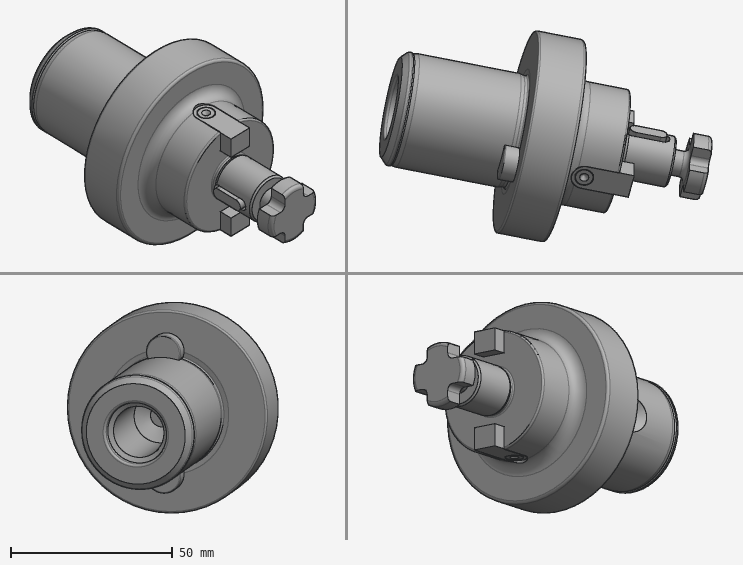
import cadquery as cq
import math


SIDES = (1, -1)

shank_length = 39.8
flange_length = 15.3
hub_length = 16.8
pilot_length = 17.2
hub_face = flange_length + hub_length
pilot_end = hub_face + pilot_length

shank_diameter = 36.0
flange_diameter = 64.0
hub_diameter = 39.1
pilot_diameter = 16.1
shank_r = shank_diameter / 2
flange_r = flange_diameter / 2
hub_r = hub_diameter / 2
pilot_r = pilot_diameter / 2

nose_chamfer = 1.8
nose_fillet = 1.2
nose_land = 0.4
nose_groove_slope = 0.5
nose_groove_runout = 1.4
flange_seat_fillet = 0.6
flange_hub_fillet = 0.9
hub_root_fillet = 3.9
hub_edge_fillet = 0.6
pilot_chamfer = 0.6

relief_depth = 0.3
shank_relief_length = 2.4
relief_ramp = 1.2
relief_radius = 0.5
seat_relief_depth = 0.2
seat_relief_diameter = 39.6
pilot_relief_length = 2.1
pilot_relief_ramp = 0.8
pilot_relief_radius = 0.4

bore_diameter = 16.1
bore_mouth_diameter = 19.3
bore_mouth_fillet = 0.8
bore_mouth_depth = 2.9
bore_mouth_cone = 0.8
bore_depth = 30.0
bore_floor_diameter = 7.0
drill_half_angle = math.radians(59)

clamp_seat_x = -15.1
clamp_seat_r = 6.6

pin_diameter = 10.9
pin_offset = 19.4
pin_protrusion = 4.7
pin_seat_depth = 8.0
pin_edge_fillet = 0.3
pin_r = pin_diameter / 2

driver_width = 8.1
driver_start = 17.7
driver_end = 36.8
driver_floor = 11.8
driver_top = 18.9
driver_r = driver_width / 2
driver_screw_x = driver_start + driver_r

cap_head_diameter = 5.4
cap_bore_diameter = 5.8
cap_head_height = 3.0
cap_shank_diameter = 3.0
cap_thread_depth = 4.0
cap_socket_r = 1.4

feather_width = 4.0
feather_start = 34.2
feather_length = 11.8
keyway_end_gap = 1.1
feather_top = 9.3
feather_height = 4.0
feather_floor = feather_top - feather_height

stem_diameter = 8.1
stem_seat = 30.0
knob_start = 54.4
knob_end = 60.4
knob_diameter = 20.3
knob_fillet = 1.3
knob_root_fillet = 1.8
lobe_width = 8.1
lobe_corner_fillet = 2.0
stem_r = stem_diameter / 2
knob_r = knob_diameter / 2


def arc_point(center, radius, angle):
    """Point at the given angle (degrees) on a circle."""
    turn = math.radians(angle)
    return (center[0] + radius * math.cos(turn), center[1] + radius * math.sin(turn))


def revolve_about_x(profile):
    """Revolve a closed (x, radius) profile around the X axis."""
    return profile.close().revolve(360, (0, 0), (1, 0))


def cylinder_x(radius, x_start, x_end, z=0):
    """Cylinder along X, centred on y = 0 at height z."""
    return cq.Workplane("YZ", origin=(x_start, 0, 0)).center(0, z).circle(radius).extrude(x_end - x_start)


def cylinder_z(radius, x, z_start, z_end):
    """Cylinder along Z at the given x."""
    return cq.Workplane("XY", origin=(x, 0, z_start)).circle(radius).extrude(z_end - z_start)


def cone(base_center, base_radius, height, direction):
    """Pointed cone from a base circle toward its tip."""
    base = cq.Vector(*base_center)
    axis = cq.Vector(*direction)
    return cq.Workplane(cq.Solid.makeCone(base_radius, 0, height, base, axis))



def turned_body():
    """Shank, flange, hub and pilot with their fillets and reliefs."""
    nose = -shank_length
    nose_blend = nose_fillet / math.sqrt(2)
    chamfer_end_r = shank_r - nose_fillet + nose_blend
    land_start = nose + nose_chamfer + nose_blend
    nose_arc_center = (land_start, shank_r - nose_fillet)
    groove_start = land_start + nose_land
    groove_bottom = groove_start + nose_groove_slope
    groove_r = shank_r - relief_depth

    shank_root_r = shank_r - relief_depth
    seat_arc_center = (seat_relief_depth - relief_radius, shank_root_r + relief_radius)
    hub_arc_center = (flange_length + hub_root_fillet, hub_r + hub_root_fillet)
    pilot_root_r = pilot_r - relief_depth
    pilot_arc_center = (hub_face + pilot_relief_radius, pilot_root_r + pilot_relief_radius)

    seat_edge = (flange_seat_fillet, flange_r - flange_seat_fillet)
    back_edge = (flange_length - flange_hub_fillet, flange_r - flange_hub_fillet)
    hub_edge = (hub_face - hub_edge_fillet, hub_r - hub_edge_fillet)

    profile = (
        cq.Workplane("XY")
        .moveTo(nose, 0)
        .lineTo(nose, chamfer_end_r - nose_chamfer)
        .lineTo(nose + nose_chamfer, chamfer_end_r)
        .threePointArc(arc_point(nose_arc_center, nose_fillet, 112.5), (land_start, shank_r))
        .lineTo(groove_start, shank_r)
        .lineTo(groove_bottom, groove_r)
        .lineTo(groove_bottom + nose_groove_runout, shank_r)
        .lineTo(-shank_relief_length, shank_r)
        .lineTo(-shank_relief_length + relief_ramp, shank_root_r)
        .lineTo(seat_arc_center[0], shank_root_r)
        .threePointArc(
            arc_point(seat_arc_center, relief_radius, -45),
            (seat_relief_depth, seat_arc_center[1]),
        )
        .lineTo(0, seat_relief_diameter / 2)
        .lineTo(0, seat_edge[1])
        .threePointArc(arc_point(seat_edge, flange_seat_fillet, 135), (seat_edge[0], flange_r))
        .lineTo(back_edge[0], flange_r)
        .threePointArc(arc_point(back_edge, flange_hub_fillet, 45), (flange_length, back_edge[1]))
        .lineTo(flange_length, hub_arc_center[1])
        .threePointArc(arc_point(hub_arc_center, hub_root_fillet, 225), (hub_arc_center[0], hub_r))
        .lineTo(hub_edge[0], hub_r)
        .threePointArc(arc_point(hub_edge, hub_edge_fillet, 45), (hub_face, hub_edge[1]))
        .lineTo(hub_face, pilot_arc_center[1])
        .threePointArc(
            arc_point(pilot_arc_center, pilot_relief_radius, 225),
            (pilot_arc_center[0], pilot_root_r),
        )
        .lineTo(hub_face + pilot_relief_length - pilot_relief_ramp, pilot_root_r)
        .lineTo(hub_face + pilot_relief_length, pilot_r)
        .lineTo(pilot_end - pilot_chamfer, pilot_r)
        .lineTo(pilot_end, pilot_r - pilot_chamfer)
        .lineTo(pilot_end, 0)
    )
    return revolve_about_x(profile)


def shank_bore():
    """Blind bore with a rounded, stepped mouth and a conical floor."""
    nose = -shank_length
    mouth_r = bore_mouth_diameter / 2
    bore_r = bore_diameter / 2
    floor_r = bore_floor_diameter / 2
    bore_end = nose + bore_depth
    floor_x = bore_end + (bore_r - floor_r) / math.tan(drill_half_angle)
    fillet_center = (nose + bore_mouth_fillet, mouth_r + bore_mouth_fillet)
    profile = (
        cq.Workplane("XY")
        .moveTo(nose, 0)
        .lineTo(nose, fillet_center[1])
        .threePointArc(arc_point(fillet_center, bore_mouth_fillet, 225), (fillet_center[0], mouth_r))
        .lineTo(nose + bore_mouth_depth, mouth_r)
        .lineTo(nose + bore_mouth_depth + bore_mouth_cone, bore_r)
        .lineTo(bore_end, bore_r)
        .lineTo(floor_x, floor_r)
        .lineTo(floor_x, 0)
    )
    return revolve_about_x(profile)


def driver_blank(side, top):
    """Round-ended block from the slot floor up to the given height."""
    straight = driver_end - driver_screw_x
    block = (
        cq.Workplane("XY", origin=(driver_screw_x, 0, side * driver_floor))
        .moveTo(0, -driver_r)
        .lineTo(straight, -driver_r)
        .lineTo(straight, driver_r)
        .lineTo(0, driver_r)
        .threePointArc((-driver_r, 0), (0, -driver_r))
        .close()
        .extrude(side * (top - driver_floor))
    )
    return block


def cap_thread(side):
    """Threaded part of a cap screw below the slot floor, and its hole in the hub."""
    thread_end = driver_floor - cap_thread_depth
    return cylinder_z(cap_shank_diameter / 2, driver_screw_x, side * thread_end, side * driver_floor)


def feather_blank(end_gap, top):
    """Round-ended block along X, from the keyway floor out to y = -top."""
    length = feather_length + 2 * end_gap
    middle = feather_start + feather_length / 2
    return (
        cq.Workplane("XZ", origin=(middle, -feather_floor, 0))
        .slot2D(length, feather_width)
        .extrude(top - feather_floor)
    )


def make_housing():
    body = turned_body().cut(shank_bore())
    body = body.cut(cone((clamp_seat_x, shank_r, 0), clamp_seat_r, clamp_seat_r, (0, -1, 0)))
    body = body.cut(feather_blank(keyway_end_gap, feather_top))
    body = body.cut(cylinder_x(stem_r, stem_seat, pilot_end))
    for side in SIDES:
        body = body.cut(cylinder_x(pin_r, 0, pin_seat_depth, side * pin_offset))
        body = body.cut(driver_blank(side, flange_r))
        body = body.cut(cap_thread(side))
    return body



def make_drive_pin(side):
    """Round pin; its exposed end is cut away to hug the shank."""
    pin = cylinder_x(pin_r, -pin_protrusion, pin_seat_depth, side * pin_offset)
    pin = pin.faces("<X").edges().fillet(pin_edge_fillet)
    return pin.cut(cylinder_x(shank_r, -shank_length, 0))


def make_driver_key(side):
    """Driver key with a counterbored hole for its cap screw."""
    head_seat = driver_top - cap_head_height
    key = driver_blank(side, driver_top)
    key = key.cut(cylinder_z(cap_bore_diameter / 2, driver_screw_x, side * head_seat, side * driver_top))
    return key.cut(cylinder_z(cap_shank_diameter / 2, driver_screw_x, side * driver_floor, side * head_seat))


def make_cap_screw(side):
    """Cap screw with its head flush with the driver key and a conical socket."""
    head_seat = driver_top - cap_head_height
    head = cylinder_z(cap_head_diameter / 2, driver_screw_x, side * head_seat, side * driver_top)
    shank = cylinder_z(cap_shank_diameter / 2, driver_screw_x, side * driver_floor, side * head_seat)
    screw = head.union(shank).union(cap_thread(side))
    socket = cone((driver_screw_x, 0, side * driver_top), cap_socket_r, cap_socket_r, (0, 0, -side))
    return screw.cut(socket)


def make_feather_key():
    return feather_blank(0, feather_top)


def make_clamping_screw():
    """Stem that blends into a cross-shaped knob with rounded inner corners."""
    knob_length = knob_end - knob_start
    knob_plane = cq.Workplane("YZ", origin=(knob_start, 0, 0))
    flat_bar = knob_plane.rect(knob_diameter, lobe_width).extrude(knob_length)
    upright_bar = knob_plane.rect(lobe_width, knob_diameter).extrude(knob_length)
    inner_corners = cq.selectors.BoxSelector(
        (knob_start, -lobe_width, -lobe_width), (knob_end, lobe_width, lobe_width)
    )
    lobes = flat_bar.union(upright_bar)
    lobes = lobes.edges("|X").edges(inner_corners).fillet(lobe_corner_fillet)
    disc = cylinder_x(knob_r, knob_start, knob_end).faces(">X").edges().fillet(knob_fillet)

    root_center = (knob_start - knob_root_fillet, stem_r + knob_root_fillet)
    stem_profile = (
        cq.Workplane("XY")
        .moveTo(stem_seat, 0)
        .lineTo(stem_seat, stem_r)
        .lineTo(root_center[0], stem_r)
        .threePointArc(arc_point(root_center, knob_root_fillet, -45), (knob_start, root_center[1]))
        .lineTo(knob_start, 0)
    )
    return lobes.intersect(disc).union(revolve_about_x(stem_profile))



housing = make_housing()
drive_pins = [make_drive_pin(side) for side in SIDES]
driver_keys = [make_driver_key(side) for side in SIDES]
cap_screws = [make_cap_screw(side) for side in SIDES]
feather_key = make_feather_key()
clamping_screw = make_clamping_screw()

result = cq.Compound.makeCompound([
    housing.solids().val(),
    *[pin.solids().val() for pin in drive_pins],
    *[key.solids().val() for key in driver_keys],
    *[screw.solids().val() for screw in cap_screws],
    feather_key.solids().val(),
    clamping_screw.solids().val(),
])